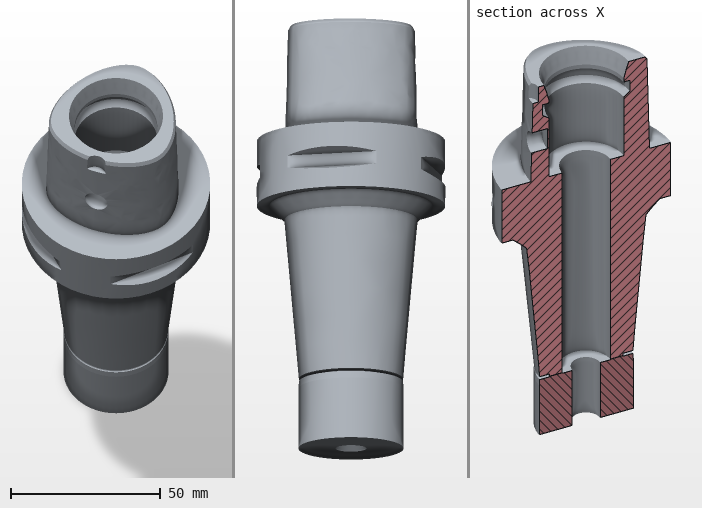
import cadquery as cq
import math

total_height = 143.0
shank_length = 38.0
flange_height = 22.0
shoulder_height = 4.9
nut_height = 22.7
gap_height = 1.0
flange_top = total_height - shank_length
flange_bottom = flange_top - flange_height
shoulder_bottom = flange_bottom - shoulder_height
cone_bottom = nut_height + gap_height

flange_diameter = 63.0
flange_radius = flange_diameter / 2
shoulder_top_radius = 27.3
shoulder_bottom_radius = 22.3
nut_radius = 17.6
cone_bottom_radius = 17.5
neck_radius = 13.7

shank_base_radius = 22.2
shank_taper = 1 / 40
lobe_height = 1.5
shank_chamfer_height = 1.3
shank_chamfer_width = 0.7
lobe_curve_points = 72

mouth_radius = 15.7
bore_radius = 13.9
mouth_depth = 6.5
lip_depth = 8.0
undercut_radius = 16.2
undercut_depth = 12.3
undercut_cone_depth = 14.0
bore_depth = shank_length
passage_radius = 9.0

notch_radius = 3.9
notch_depth = 6.1
notch_inner_y = -17.9
side_hole_radius = 4.0
side_hole_depth = 22.3
side_hole_floor_y = -14.6

slot_count = 4
slot_first_angle = 45.0
slot_drop = 11.9
slot_floor_distance = 27.6
slot_floor_height = 4.1
slot_mouth_height = 7.5
slot_length = flange_diameter

nut_hole_radius = 5.1
nut_rim_height = 2.3
nut_rim_inset = 0.1


def shank_section(mean_radius, z):
    """Closed three-lobed wire of constant width at height z."""

    def lobe_point(index):
        angle = 2 * math.pi * index / lobe_curve_points
        reach = mean_radius + lobe_height * math.cos(3 * angle)
        slide = -3 * lobe_height * math.sin(3 * angle)
        x = -reach * math.sin(angle) - slide * math.cos(angle)
        y = reach * math.cos(angle) - slide * math.sin(angle)
        return cq.Vector(x, y, z)

    points = [lobe_point(index) for index in range(lobe_curve_points)]
    return cq.Wire.assembleEdges([cq.Edge.makeSpline(points, periodic=True)])


def make_shank():
    chamfer_z = total_height - shank_chamfer_height
    chamfer_radius = shank_base_radius - shank_taper * (chamfer_z - flange_top)
    base = shank_section(shank_base_radius, flange_top)
    shoulder = shank_section(chamfer_radius, chamfer_z)
    tip = shank_section(chamfer_radius - shank_chamfer_width, total_height)
    tapered = cq.Workplane(cq.Solid.makeLoft([base, shoulder], True))
    chamfered_tip = cq.Workplane(cq.Solid.makeLoft([shoulder, tip], True))
    return tapered.union(chamfered_tip)


def revolve_profile(points):
    """Turn a closed (radius, z) outline around the Z axis."""
    return cq.Workplane("XZ").polyline(points).close().revolve(360, (0, 0, 0), (0, 1, 0))


def make_turned_body():
    return revolve_profile([
        (0, nut_height),
        (neck_radius, nut_height),
        (neck_radius, cone_bottom),
        (cone_bottom_radius, cone_bottom),
        (shoulder_bottom_radius, shoulder_bottom),
        (shoulder_top_radius, flange_bottom),
        (flange_radius, flange_bottom),
        (flange_radius, flange_top),
        (0, flange_top),
    ])


def make_bore():
    return revolve_profile([
        (0, total_height),
        (mouth_radius, total_height),
        (bore_radius, total_height - mouth_depth),
        (bore_radius, total_height - lip_depth),
        (undercut_radius, total_height - lip_depth),
        (undercut_radius, total_height - undercut_depth),
        (bore_radius, total_height - undercut_cone_depth),
        (bore_radius, total_height - bore_depth),
        (passage_radius, total_height - bore_depth),
        (passage_radius, nut_height),
        (0, nut_height),
    ])


def make_notch():
    return (
        cq.Workplane("XY", origin=(0, notch_inner_y - notch_radius, total_height - notch_depth))
        .circle(notch_radius)
        .extrude(notch_depth)
    )


def make_side_hole():
    return (
        cq.Workplane("XZ", origin=(0, side_hole_floor_y, total_height - side_hole_depth))
        .circle(side_hole_radius)
        .extrude(flange_radius + side_hole_floor_y)
    )


def make_gripper_slot(angle):
    """Flat-floored slot with flared sides, cut inward from the given direction."""
    floor_half = slot_floor_height / 2
    mouth_half = slot_mouth_height / 2
    return (
        cq.Workplane("XZ", origin=(0, slot_length / 2, flange_top - slot_drop))
        .polyline([
            (slot_floor_distance, -floor_half),
            (flange_radius, -mouth_half),
            (flange_radius, mouth_half),
            (slot_floor_distance, floor_half),
        ])
        .close()
        .extrude(slot_length)
        .rotate((0, 0, 0), (0, 0, 1), angle)
    )


def make_housing():
    housing = make_turned_body().union(make_shank())
    housing = housing.cut(make_bore()).cut(make_notch()).cut(make_side_hole())
    for index in range(slot_count):
        angle = slot_first_angle + index * 360 / slot_count
        housing = housing.cut(make_gripper_slot(angle))
    return housing


def make_nut():
    """Round nut with a slightly tapered rim, seated against the housing's neck."""
    return revolve_profile([
        (nut_hole_radius, 0),
        (nut_radius, 0),
        (nut_radius, nut_height - nut_rim_height),
        (nut_radius - nut_rim_inset, nut_height),
        (nut_hole_radius, nut_height),
    ])


housing = make_housing()
nut = make_nut()
result = cq.Compound.makeCompound([*housing.solids().vals(), nut.val()])